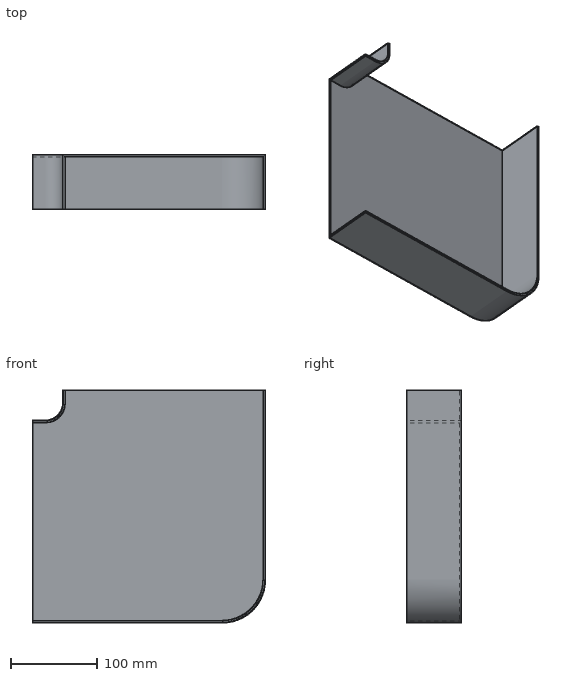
import cadquery as cq

side = 270.1
depth = 63.4
wall = 2.6
corner_radius = 50.0
notch = 35.0
notch_radius = 20.0


def profile(inset, length):
    """Outline in XZ with its walled edges moved inward, extruded from the front toward +Y.

    The -X and top edges have no wall, so the inset leaves them in place.
    """
    right = side - inset
    notch_edge = notch + inset
    bend_radius = notch_radius + inset
    outline = (
        cq.Workplane("XZ")
        .moveTo(0, inset)
        .lineTo(side - corner_radius, inset)
        .radiusArc((right, corner_radius), -(corner_radius - inset))
        .lineTo(right, side)
        .lineTo(notch_edge, side)
        .lineTo(notch_edge, side - notch_edge + bend_radius)
        .radiusArc((notch_edge - bend_radius, side - notch_edge), bend_radius)
        .lineTo(0, side - notch_edge)
        .close()
    )
    return outline.extrude(-length)


tray = profile(0, depth)
cavity = profile(wall, depth - wall)

result = tray.cut(cavity)